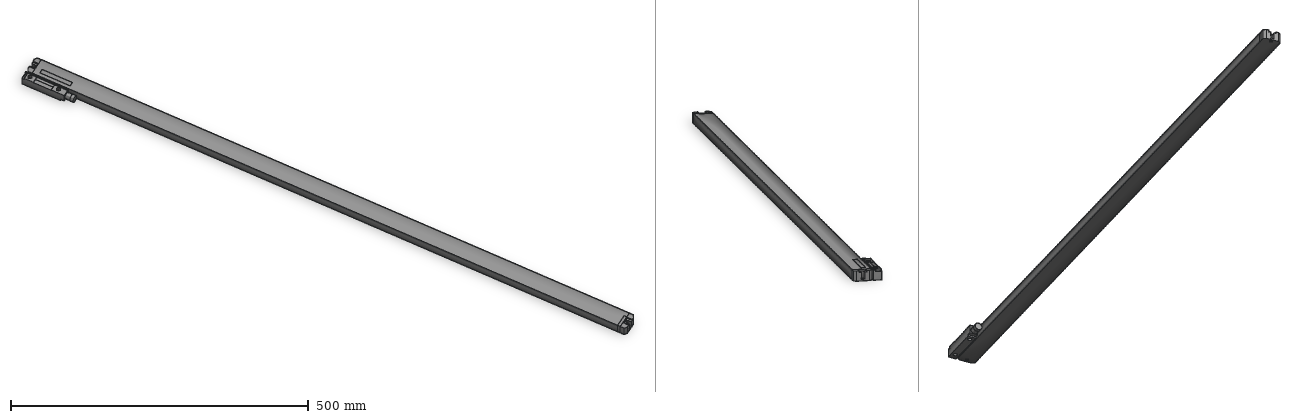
import cadquery as cq

total_length = 1145.0
total_width = 49.0
height = 18.0
mid_height = height / 2

scale_width = 33.0
scale_half_width = scale_width / 2
edge_bevel_width = 0.3
edge_bevel_height = 1.8
block_length = 11.0
block_width = scale_width - 2 * edge_bevel_width
block_height = height - 0.3
block_half_width = block_width / 2
block_corner_length = 3.4
block_corner_width = 5.0
extrusion_length = total_length - 2 * block_length

slot_width = 6.0
slot_arc_x = 5.5
slot_floor_z = 3.0
mount_hole_diameter = 5.0
seat_width = 13.0
seat_length = 10.0
seat_floor_z = 15.0

label_start_x = 22.0
label_length = 58.0
label_width = 8.0
label_center_y = -5.5
label_depth = 0.5

band_length = 5.0
band_depth = 0.4
band_back_y = 7.0

head_gap = 1.5
head_length = 81.0
head_width = total_width - scale_width - head_gap
head_back_y = -scale_half_width - head_gap
head_front_y = head_back_y - head_width
head_center_y = (head_back_y + head_front_y) / 2

screw_hole_diameter = 7.0
screw_hole_xs = (11.5, 66.0)

end_step_length = 4.0
end_step_width = 10.5
end_step_height = 3.0
under_step_length = 7.0
under_step_height = 3.0

ledge_width = 2.0
ledge_depth = 0.5

head_recess_start_x = 22.0
head_recess_length = 34.0
head_recess_depth = 0.4
head_recess_front_width = head_width / 2
head_recess_front_depth = 2 * head_recess_depth

gland_center_y = head_center_y + 0.8
collar_diameter = 12.0
collar_length = 9.5
nut_diameter = 12.6
nut_length = 6.5


def box(x_start, length, y_start, width, z_start, tall):
    return cq.Workplane("XY").box(length, width, tall, centered=False).translate((x_start, y_start, z_start))


def rod_along_x(x_start, length, diameter):
    profile = cq.Workplane("YZ", origin=(x_start, gland_center_y, mid_height)).circle(diameter / 2)
    return profile.extrude(length)


def build_extrusion():
    return (
        cq.Workplane("YZ", origin=(block_length, 0, 0))
        .moveTo(-scale_half_width + edge_bevel_width, 0)
        .lineTo(scale_half_width - edge_bevel_width, 0)
        .lineTo(scale_half_width, edge_bevel_height)
        .lineTo(scale_half_width, height - edge_bevel_height)
        .lineTo(scale_half_width - edge_bevel_width, height)
        .lineTo(-scale_half_width + edge_bevel_width, height)
        .lineTo(-scale_half_width, height - edge_bevel_height)
        .lineTo(-scale_half_width, edge_bevel_height)
        .close()
        .extrude(extrusion_length)
    )


def build_left_block():
    block = (
        cq.Workplane("XY")
        .moveTo(block_length, -block_half_width)
        .lineTo(block_corner_length, -block_half_width)
        .lineTo(0, -block_half_width + block_corner_width)
        .lineTo(0, block_half_width - block_corner_width)
        .lineTo(block_corner_length, block_half_width)
        .lineTo(block_length, block_half_width)
        .close()
        .extrude(block_height)
    )
    block = block.cut(box(0, seat_length, -seat_width / 2, seat_width, seat_floor_z, height - seat_floor_z))
    slot_height = height - slot_floor_z
    slot_floor = cq.Workplane("XY", origin=(slot_arc_x, 0, slot_floor_z))
    block = block.cut(box(0, slot_arc_x, -slot_width / 2, slot_width, slot_floor_z, slot_height))
    block = block.cut(slot_floor.circle(slot_width / 2).extrude(slot_height))
    return block.cut(slot_floor.circle(mount_hole_diameter / 2).extrude(-slot_floor_z))


def build_scale():
    left_block = build_left_block()
    right_block = left_block.mirror("YZ").translate((total_length, 0, 0))
    body = build_extrusion().union(left_block).union(right_block)
    band_x = total_length - block_length - band_length
    band_width = band_back_y + scale_half_width
    body = body.cut(box(band_x, band_length, -scale_half_width, band_width, height - band_depth, band_depth))
    body = body.cut(box(band_x, band_length, -scale_half_width, band_depth, 0, height))
    label_y = label_center_y - label_width / 2
    return body.cut(box(label_start_x, label_length, label_y, label_width, height - label_depth, label_depth))


def top_recess(x_start, length, width, depth):
    return box(x_start, length, head_front_y, width, height - depth, depth)


def build_head():
    body = box(0, head_length, head_front_y, head_width, 0, height)
    body = body.cut(top_recess(0, end_step_length, end_step_width, end_step_height))
    body = body.cut(top_recess(head_recess_start_x, head_recess_length, head_width, head_recess_depth))
    body = body.cut(
        top_recess(head_recess_start_x, head_recess_length, head_recess_front_width, head_recess_front_depth)
    )
    ledge_y = head_back_y - ledge_width
    body = body.cut(box(0, head_length, ledge_y, ledge_width, height - ledge_depth, ledge_depth))
    under_step_x = head_length - under_step_length
    body = body.cut(box(under_step_x, under_step_length, head_front_y, head_width, 0, under_step_height))
    for x in screw_hole_xs:
        hole = cq.Workplane("XY").center(x, head_center_y).circle(screw_hole_diameter / 2).extrude(height)
        body = body.cut(hole)
    body = body.union(rod_along_x(head_length, collar_length, collar_diameter))
    return body.union(rod_along_x(head_length + collar_length, nut_length, nut_diameter))


scale = build_scale()
reading_head = build_head()
result = cq.Compound.makeCompound([scale.val(), reading_head.val()])